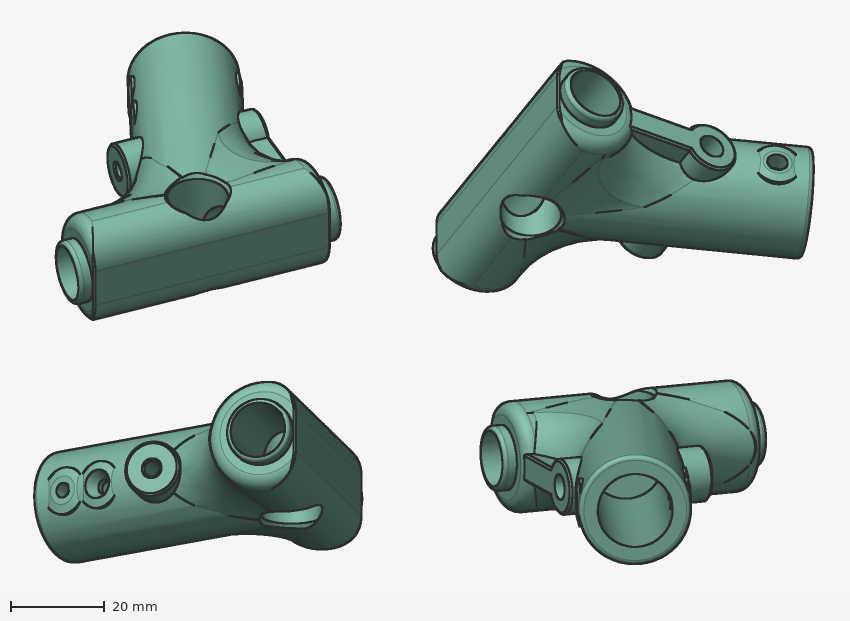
import cadquery as cq
import math

tube_diameter = 24.0
tube_radius = tube_diameter / 2
bar_half_length = 27.5
flat_offset = 7.5
bar_middle_y = -0.15
bar_end_round = 2.85
flat_chamfer = 0.4
collar_diameter = 14.0
collar_end = 30.4
collar_round = 0.95
bar_bore = 12.0

arm_angle = 20.0
arm_length = 60.0
arm_round = 1.0
arm_bore = 16.0
arm_bore_depth = 45.0

blend_radius = 25.0
back_blend_start = 37.25
back_blend_end_x = -9.0
crown_scale = 0.46
blend_top_scale = 0.17
blend_rows = 9
crown_rows = 4

socket_x = -0.7
socket_diameter = 13.0
socket_rim = 14.5
socket_bevel = 1.0

boss_x = -30.0
boss_diameter = 12.0
boss_front = -6.0
boss_back = 27.0
boss_chamfer = 0.5
web_thickness = 6.1
cross_hole = 3.5
cross_hole_rim = 4.3
cross_hole_back = 5.5
back_hole_start = 10.8

pad_base = 10.3
pad_top = 6.2
pad_slope_height = 0.55
pad_root = 9.5
pad_face = 12.1
end_pad = 52.0
inner_pad = 43.0
screw_hole = 3.2
screw_hole_back = 4.3
sink_depth = 2.7

arm_x = -math.cos(math.radians(arm_angle))
arm_y = math.sin(math.radians(arm_angle))
arm_direction = cq.Vector(arm_x, arm_y, 0)
arm_side = cq.Vector(-arm_y, arm_x, 0)
CENTER = cq.Vector(0, 0, 0)
Y_AXIS = cq.Vector(0, 1, 0)
Z_AXIS = cq.Vector(0, 0, 1)


def rod(diameter, start, direction, length):
    """Solid cylinder from a start point along a direction."""
    return cq.Workplane(cq.Solid.makeCylinder(diameter / 2, length, start, direction))


def cone(start_diameter, end_diameter, start, direction, length):
    """Solid cone frustum from a start point along a direction."""
    return cq.Workplane(
        cq.Solid.makeCone(start_diameter / 2, end_diameter / 2, length, start, direction)
    )


def make_bar():
    """Crossbar: half round on -X, rounded corners and a flat on +X."""
    corner_mid = flat_offset * math.sqrt(0.5)
    corner_z = tube_radius - flat_offset
    profile = (
        cq.Workplane("XZ", origin=(0, bar_half_length, 0))
        .moveTo(0, -tube_radius)
        .threePointArc((-tube_radius, 0), (0, tube_radius))
        .threePointArc((corner_mid, corner_z + corner_mid), (flat_offset, corner_z))
        .lineTo(flat_offset, -corner_z)
        .threePointArc((corner_mid, -corner_z - corner_mid), (0, -tube_radius))
        .close()
        .extrude(2 * bar_half_length)
        .faces(">X")
        .edges("|Z")
        .chamfer(flat_chamfer)
    )
    start = cq.Vector(0, -bar_half_length, 0)
    envelope = rod(tube_diameter, start, Y_AXIS, 2 * bar_half_length)
    bar = profile.intersect(envelope.edges("%CIRCLE").fillet(bar_end_round))
    return bar.translate((0, bar_middle_y, 0))


def make_arm():
    """Arm from the middle of the crossbar, rounded at its free end."""
    arm = rod(tube_diameter, CENTER, arm_direction, arm_length)
    return arm.faces(cq.selectors.DirectionMinMaxSelector(arm_direction)).edges().fillet(arm_round)


def make_blend(outline, low_angle, high_angle, rows):
    """Web lofted between two angles on the tube's circle; each arc leaves the arm tangentially."""
    sections = []
    for row in range(rows):
        angle = low_angle + (high_angle - low_angle) * row / (rows - 1)
        start, end = outline(math.cos(angle))
        arc = cq.Edge.makeTangentArc(start, -arm_direction, end)
        sides = [cq.Edge.makeLine(CENTER, start), arc, cq.Edge.makeLine(end, CENTER)]
        height = tube_radius * math.sin(angle)
        sections.append(cq.Wire.assembleEdges(sides).translate(cq.Vector(0, 0, height)))
    return cq.Workplane(cq.Solid.makeLoft(sections))


def tangent_outline(scale, y_side):
    """Arc ends touching the arm and the crossbar half on the given Y side."""
    corner = math.radians(90 - y_side * arm_angle)
    reach = (blend_radius + tube_radius) / math.tan(corner / 2)
    start = arm_direction * reach - arm_side * (y_side * tube_radius)
    end = cq.Vector(-tube_radius, y_side * reach, 0)
    return start * scale, end * scale


def front_outline(scale):
    """Arc ends of the blend on the -Y side."""
    return tangent_outline(scale, -1)


def crown_outline(scale):
    """Arc ends of the back blend near its top and bottom."""
    return tangent_outline(scale, 1)


def back_outline(scale):
    """Arc ends of the back blend, eased from its crown to the crossbar's end face at mid height."""
    crown_start, crown_end = crown_outline(crown_scale)
    crown_reach = crown_start.dot(arm_direction)
    share = (scale - crown_scale) / (1 - crown_scale)
    reach = crown_reach + (back_blend_start - crown_reach) * share
    start = arm_direction * reach - arm_side * (tube_radius * scale)
    mid_end = cq.Vector(back_blend_end_x, bar_half_length + bar_middle_y, 0)
    return start, crown_end + (mid_end - crown_end) * share


def make_front_blend():
    """Blend tangent to the arm and to the -Y half of the crossbar."""
    top_angle = math.acos(blend_top_scale)
    return make_blend(front_outline, -top_angle, top_angle, blend_rows)


def make_back_blend():
    """Blend from the arm to the +Y end of the crossbar, with tangent crowns above and below."""
    crown_angle = math.acos(crown_scale)
    top_angle = math.acos(blend_top_scale)
    blend = make_blend(back_outline, -crown_angle, crown_angle, blend_rows)
    for side in (1, -1):
        blend = blend.union(make_blend(crown_outline, side * crown_angle, side * top_angle, crown_rows))
    return blend


def make_boss():
    """Boss along Y with a web running from its axis to the crossbar."""
    boss = rod(boss_diameter, cq.Vector(boss_x, boss_front, 0), Y_AXIS, boss_back - boss_front)
    web = (
        cq.Workplane("XY")
        .box(-boss_x, boss_back, web_thickness, centered=(False, False, True))
        .translate((boss_x, 0, 0))
        .edges(">Y and |X")
        .chamfer(boss_chamfer)
    )
    return boss.edges("%CIRCLE").chamfer(boss_chamfer).union(web)


def make_pad(position, side):
    """Round screw pad with a sloped rim, standing just proud of the arm."""
    axis_point = arm_direction * position
    slope_start = pad_face - pad_slope_height
    root = rod(pad_base, axis_point + side * pad_root, side, slope_start - pad_root)
    slope = cone(pad_base, pad_top, axis_point + side * slope_start, side, pad_slope_height)
    return root.union(slope)


def make_collars():
    """Short rounded collars on both ends of the crossbar."""
    collars = rod(collar_diameter, Y_AXIS * -collar_end, Y_AXIS, 2 * collar_end)
    return collars.edges("%CIRCLE").fillet(collar_round).translate((0, bar_middle_y, 0))


def cut_tube_bores(body):
    """Through bore of the crossbar and blind bore of the arm."""
    body = body.cut(rod(bar_bore, Y_AXIS * (bar_middle_y - collar_end), Y_AXIS, 2 * collar_end))
    return body.cut(rod(arm_bore, arm_direction * arm_length, -arm_direction, arm_bore_depth))


def cut_socket(body):
    """Vertical through hole with a beveled rim at both openings."""
    body = body.cut(rod(socket_diameter, cq.Vector(socket_x, 0, -tube_radius), Z_AXIS, tube_diameter))
    for side in (1, -1):
        start = cq.Vector(socket_x, 0, side * tube_radius)
        body = body.cut(cone(socket_rim, socket_diameter, start, Z_AXIS * -side, socket_bevel))
    return body


def cut_boss_hole(body):
    """Hole along the boss: beveled in front, wider behind the arm bore."""
    front = cq.Vector(boss_x, boss_front, 0)
    back = cq.Vector(boss_x, back_hole_start, 0)
    body = body.cut(rod(cross_hole, front, Y_AXIS, boss_back - boss_front))
    body = body.cut(rod(cross_hole_back, back, Y_AXIS, boss_back - back_hole_start))
    bevel = (cross_hole_rim - cross_hole) / 2
    return body.cut(cone(cross_hole_rim, cross_hole, front, Y_AXIS, bevel))


def cut_screw_holes(body):
    """Two screw holes across the arm: one through both walls, one countersunk in the front wall."""
    for position in (end_pad, inner_pad):
        start = arm_direction * position + arm_side * pad_face
        body = body.cut(rod(screw_hole, start, -arm_side, pad_face))
    sink_start = arm_direction * inner_pad + arm_side * pad_face
    body = body.cut(cone(pad_top, screw_hole, sink_start, -arm_side, sink_depth))
    back_start = arm_direction * end_pad
    return body.cut(rod(screw_hole_back, back_start, -arm_side, pad_face))


result = make_bar().union(make_arm()).union(make_front_blend()).union(make_back_blend())
result = result.union(make_collars()).union(make_boss())
for position, side in ((end_pad, arm_side), (inner_pad, arm_side), (end_pad, -arm_side)):
    result = result.union(make_pad(position, side))
result = cut_tube_bores(result)
result = cut_socket(result)
result = cut_boss_hole(result)
result = cut_screw_holes(result)